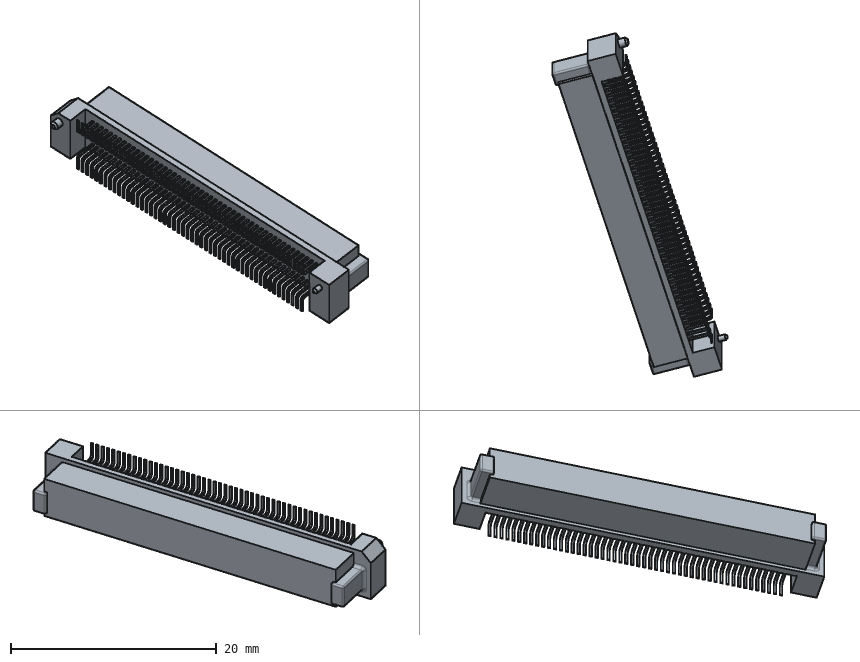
import cadquery as cq


base_length = 36.6
base_width = 5.2
base_top = 2.85
plate_thickness = 0.65
leg_length = 2.6
corner_chamfer = 1.02

housing_inset = 1.9
housing_length = base_length - 2 * housing_inset
housing_width = 4.3
housing_height = 3.5

post_inset = 0.85
post_inner_inset = 2.27
post_width = 2.4
post_center_z = -0.5
post_top = 6.75
post_edge_radius = 0.2
post_root_radius = 0.33

peg_length = 0.9
peg_tip_height = 0.22
peg_from_edge = 1.1
large_peg_inset = 1.17
large_peg_diameter = 0.88
small_peg_inset = 1.2
small_peg_diameter = 0.6
peg_tip_chamfer = 0.2

contact_count = 50
contact_row_length = 29.4
contact_pitch = contact_row_length / (contact_count - 1)
contact_width = 0.25
contact_thickness = 0.1
contact_bend_radius = 0.45
contact_foot_end = 3.25
contact_foot_length = 1.75
contact_bottom = -0.055
contact_embed = 0.2


def box(x_range, y_range, z_range):
    """Axis-aligned box between pairs of limits."""
    size = [high - low for low, high in (x_range, y_range, z_range)]
    corner = (x_range[0], y_range[0], z_range[0])
    return cq.Workplane("XY").box(*size, centered=False).translate(corner)


def make_base():
    half_length = base_length / 2
    half_width = base_width / 2
    inner = half_length - leg_length
    body = box((-half_length, half_length), (0, base_top), (-half_width, half_width))
    body = body.edges("|Y and <X and >Z").chamfer(corner_chamfer)
    gap = box((-inner, inner), (0, base_top - plate_thickness), (-half_width, half_width))
    return body.cut(gap)


def make_housing():
    half_length = housing_length / 2
    half_width = housing_width / 2
    return box(
        (-half_length, half_length),
        (base_top, base_top + housing_height),
        (-half_width, half_width),
    )


def make_post(side):
    """Guide post with rounded edges; side is -1 or +1 along X."""
    outer_x = side * (base_length / 2 - post_inset)
    inner_x = side * (base_length / 2 - post_inner_inset)
    post = box(
        sorted((outer_x, inner_x)),
        (base_top, post_top),
        (post_center_z - post_width / 2, post_center_z + post_width / 2),
    )
    return post.edges("|Y or >Y").fillet(post_edge_radius)


def round_post_roots(connector):
    """Blend the posts into the plate along their exposed root edges."""
    half_root = base_length / 2 - post_inset
    half_housing = housing_length / 2
    low_z = post_center_z - post_width / 2
    high_z = post_center_z + post_width / 2
    margin = 0.05
    rounded = connector
    for side in (-1, 1):
        near = cq.selectors.BoxSelector(
            (side * (half_housing - margin), base_top - margin, low_z - margin),
            (side * (half_root + margin), base_top + margin, high_z + margin),
        )
        rounded = rounded.edges(near).fillet(post_root_radius)
    return rounded


def make_peg(x, diameter):
    """Peg pointing to -Y with a bevelled tip."""
    return (
        cq.Workplane("XZ", origin=(x, 0, base_width / 2 - peg_from_edge))
        .circle(diameter / 2)
        .extrude(peg_length)
        .faces("<Y")
        .chamfer(peg_tip_height, peg_tip_chamfer)
    )


def make_contact():
    """Upper-row contact centred on X = 0: shank along Y, bend, foot along +Z."""
    shank_z = contact_foot_end - contact_foot_length
    shank_top = base_top - plate_thickness + contact_embed
    inner_radius = contact_bend_radius - contact_thickness
    foot_top = contact_bottom + contact_thickness
    bend_y = contact_bottom + contact_bend_radius
    bend_z = shank_z + contact_bend_radius
    return (
        cq.Workplane("YZ")
        .moveTo(shank_top, shank_z)
        .lineTo(bend_y, shank_z)
        .radiusArc((contact_bottom, bend_z), contact_bend_radius)
        .lineTo(contact_bottom, contact_foot_end)
        .lineTo(foot_top, contact_foot_end)
        .lineTo(foot_top, bend_z)
        .radiusArc((bend_y, shank_z + contact_thickness), -inner_radius)
        .lineTo(shank_top, shank_z + contact_thickness)
        .close()
        .extrude(contact_width / 2, both=True)
    )


def make_contacts():
    upper = make_contact().val()
    lower = upper.mirror("XY")
    contacts = []
    for index in range(contact_count):
        x = index * contact_pitch - contact_row_length / 2
        contacts.append(upper.translate(cq.Vector(x, 0, 0)))
        contacts.append(lower.translate(cq.Vector(x, 0, 0)))
    return contacts


body = make_base().union(make_housing())
for side in (-1, 1):
    body = body.union(make_post(side))
body = round_post_roots(body)
body = body.union(make_peg(large_peg_inset - base_length / 2, large_peg_diameter))
body = body.union(make_peg(base_length / 2 - small_peg_inset, small_peg_diameter))

result = cq.Workplane("XY").newObject([body.val().fuse(*make_contacts())])